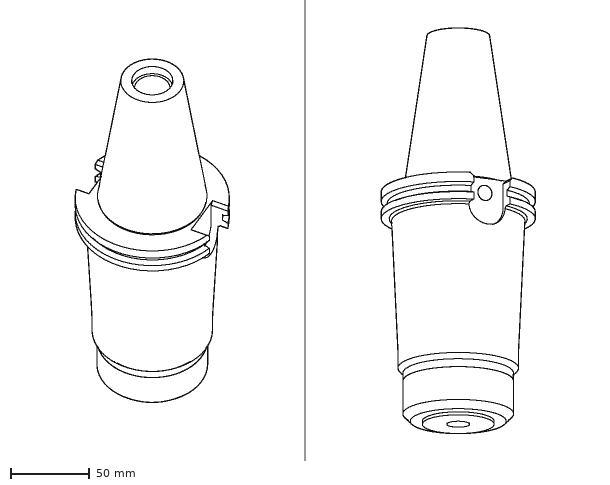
import cadquery as cq


GAUGE_RADIUS = 69.85 / 2
TAPER_LENGTH = 101.6
TAPER_RATIO = 7 / 24
TAPER_TIP_RADIUS = GAUGE_RADIUS - TAPER_LENGTH * TAPER_RATIO / 2
NECK_RADIUS = 34.3

FLANGE_RADIUS = 98.42 / 2
FLANGE_TOP = -1.5
FLANGE_BOTTOM = -19.1
GROOVE_CENTRE = -11.1
GROOVE_MOUTH_WIDTH = 6.7
GROOVE_FLOOR_WIDTH = 3.9
GROOVE_FLOOR_RADIUS = 45.4
GROOVE_MOUTH_TOP = GROOVE_CENTRE + GROOVE_MOUTH_WIDTH / 2
GROOVE_MOUTH_BOTTOM = GROOVE_CENTRE - GROOVE_MOUTH_WIDTH / 2
GROOVE_FLOOR_TOP = GROOVE_CENTRE + GROOVE_FLOOR_WIDTH / 2
GROOVE_FLOOR_BOTTOM = GROOVE_CENTRE - GROOVE_FLOOR_WIDTH / 2

SHOULDER_CHAMFER = 1.5
BODY_TOP_RADIUS = 42.55
BODY_RADIUS = 38.5
BODY_CONE_END = -107.0
BODY_STEP = -117.8

SPIGOT_RADIUS = 35.25
SPIGOT_TOP = BODY_STEP - (BODY_RADIUS - SPIGOT_RADIUS)
NUT_RADIUS = 35.4
NUT_TOP = -126.3
NUT_CHAMFER = 4.8
NUT_BOTTOM = -152.8
COLLET_RADIUS = 22.9
OVERALL_HEIGHT = 256.4
COLLET_BOTTOM = TAPER_LENGTH - OVERALL_HEIGHT

BORE_RADIUS = 7.3
THREAD_RADIUS = 11.25
THREAD_DEPTH = 45.0
COUNTERBORE_RADIUS = 13.1
COUNTERBORE_DEPTH = 6.3

SLOT_WIDTH = 25.9
SLOT_BOTTOM = -32.7
SLOT_FLOOR_LEFT = 37.7
SLOT_FLOOR_RIGHT = 35.5
SLOT_CHAMFER = 2.2
CHIP_RECESS_DIAMETER = 10.0
CHIP_RECESS_DEPTH = 0.2


def make_body():
    """Revolve the outer profile about the Z axis."""
    profile = [
        (0, TAPER_LENGTH),
        (TAPER_TIP_RADIUS, TAPER_LENGTH),
        (GAUGE_RADIUS, 0),
        (NECK_RADIUS, FLANGE_TOP),
        (FLANGE_RADIUS, FLANGE_TOP),
        (FLANGE_RADIUS, GROOVE_MOUTH_TOP),
        (GROOVE_FLOOR_RADIUS, GROOVE_FLOOR_TOP),
        (GROOVE_FLOOR_RADIUS, GROOVE_FLOOR_BOTTOM),
        (FLANGE_RADIUS, GROOVE_MOUTH_BOTTOM),
        (FLANGE_RADIUS, FLANGE_BOTTOM),
        (BODY_TOP_RADIUS + SHOULDER_CHAMFER, FLANGE_BOTTOM),
        (BODY_TOP_RADIUS, FLANGE_BOTTOM - SHOULDER_CHAMFER),
        (BODY_RADIUS, BODY_CONE_END),
        (BODY_RADIUS, BODY_STEP),
        (SPIGOT_RADIUS, SPIGOT_TOP),
        (SPIGOT_RADIUS, NUT_TOP),
        (NUT_RADIUS, NUT_TOP),
        (NUT_RADIUS, NUT_BOTTOM + NUT_CHAMFER),
        (NUT_RADIUS - NUT_CHAMFER, NUT_BOTTOM),
        (COLLET_RADIUS, NUT_BOTTOM),
        (COLLET_RADIUS, COLLET_BOTTOM),
        (0, COLLET_BOTTOM),
    ]
    return cq.Workplane("YZ").polyline(profile).close().revolve(360, (0, 0), (0, 1))


def bore_from_tip(radius, depth):
    """Cylinder reaching down from the small end of the taper."""
    return cq.Workplane("XY").workplane(offset=TAPER_LENGTH).circle(radius).extrude(-depth)


def make_slot(floor_distance):
    """Cutter for one drive slot opening toward +X, round-bottomed and chamfered at its mouth."""
    half_width = SLOT_WIDTH / 2
    arc_centre = SLOT_BOTTOM + half_width
    mouth = half_width + SLOT_CHAMFER
    return (
        cq.Workplane("YZ")
        .workplane(offset=floor_distance)
        .moveTo(mouth, FLANGE_TOP)
        .lineTo(half_width, FLANGE_TOP - SLOT_CHAMFER)
        .lineTo(half_width, arc_centre)
        .threePointArc((0, SLOT_BOTTOM), (-half_width, arc_centre))
        .lineTo(-half_width, FLANGE_TOP - SLOT_CHAMFER)
        .lineTo(-mouth, FLANGE_TOP)
        .close()
        .extrude(FLANGE_RADIUS)
    )


def make_chip_recess():
    """Shallow round recess in the floor of the -X drive slot, level with the V-groove."""
    return (
        cq.Workplane("YZ")
        .workplane(offset=-SLOT_FLOOR_LEFT)
        .center(0, GROOVE_CENTRE)
        .circle(CHIP_RECESS_DIAMETER / 2)
        .extrude(CHIP_RECESS_DEPTH)
    )


result = make_body()
result = result.cut(bore_from_tip(BORE_RADIUS, OVERALL_HEIGHT))
result = result.cut(bore_from_tip(THREAD_RADIUS, THREAD_DEPTH))
result = result.cut(bore_from_tip(COUNTERBORE_RADIUS, COUNTERBORE_DEPTH))
result = result.cut(make_slot(SLOT_FLOOR_RIGHT))
result = result.cut(make_slot(SLOT_FLOOR_LEFT).rotate((0, 0, 0), (0, 0, 1), 180))
result = result.cut(make_chip_recess())